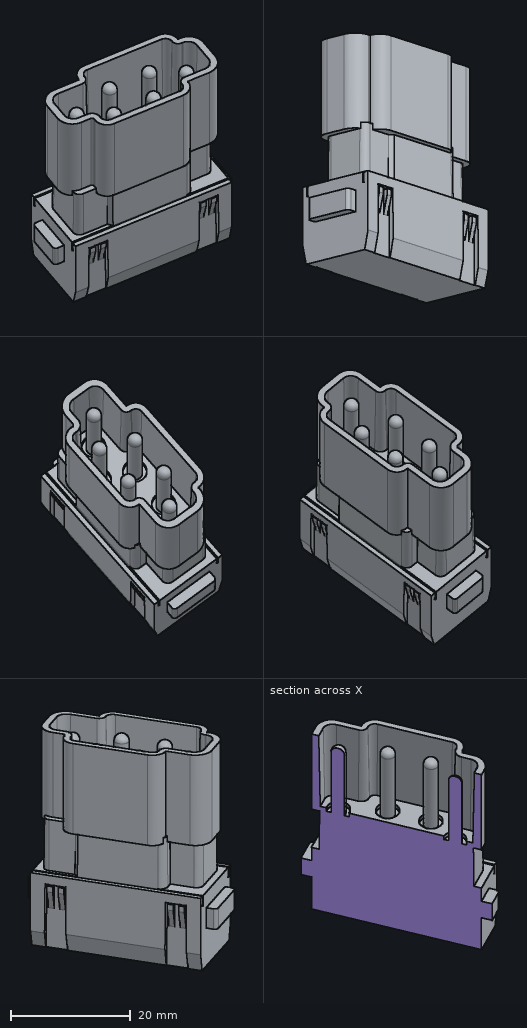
import cadquery as cq
import math

HEIGHT = 38.55
BODY_WIDTH = 14.6
BODY_LENGTH = 30.38
TAB_TO_TAB = 34.15

HALF_WIDTH = BODY_WIDTH / 2
HALF_LENGTH = BODY_LENGTH / 2

BASE_TOP = 13.65
BEVEL_INSET = 0.75
BEVEL_HEIGHT = 3.3
END_BEVEL_HEIGHT = 2.95
GROOVE_INNER_X = 6.13
GROOVE_WIDTH = 0.27
GROOVE_DEPTH = 1.8

RECESS_CENTRE_Y = 10.735
RECESS_DEPTH = 0.9
RECESS_TOP = 11.9
RECESS_TOP_WIDTH = 3.62
RECESS_BOTTOM_WIDTH = 3.9
WEDGE_BOTTOM = 7.32
WEDGE_RAMP_TOP = 10.6
WEDGE_TOP = 11.65
WEDGE_WIDTH = 1.05
WEDGE_SPACING = 2.0
WEDGE_HEIGHT = 0.8

TAB_BOTTOM = 7.0
TAB_TOP = 10.75
FRONT_TAB_WIDTH = 7.1
REAR_TAB_WIDTH = 9.1
TAB_CORNER_RADIUS = 0.6

NECK_TOP = 22.98
NECK_DRAFT = 0.5
NECK_END_Y = 13.85
NECK_SHOULDER_Y = 8.4
NECK_WIDE_X = GROOVE_INNER_X
NECK_STEPPED_X = 5.45
NECK_ARM_X = 3.55
NECK_STEP_Y = 7.2
NECK_CORNER_RADIUS = 1.27

SHROUD_BOTTOM = 21.95
SHROUD_WALL = 1.15
SHROUD_END_WALL = 1.35
CAVITY_FLOOR = 23.13
CAVITY_DRAFT = 1.0
ARM_X = 4.8
FRONT_ARM_RIGHT_X = 4.25
ARM_CORNER_RADIUS = 2.9
REAR_LEFT_SHOULDER_Y = 11.87
REAR_RIGHT_SHOULDER_Y = 8.1
FRONT_LEFT_SHOULDER_Y = -7.35
FRONT_RIGHT_SHOULDER_Y = -10.02
SHOULDER_RADIUS = 2.4
FRONT_RIGHT_NOTCH_RADIUS = 0.4

PIN_RADIUS = 1.27
PIN_TIP_Z = 36.85
PIN_WELL_RADIUS = 2.0
PIN_WELL_DEPTH = 0.77
WELL_BOTTOM = CAVITY_FLOOR - PIN_WELL_DEPTH
HALF_PIN_CENTRES = [(0.3, 10.5), (-2.8, 5.1), (2.8, 2.62)]
PIN_CENTRES = HALF_PIN_CENTRES + [(-x, -y) for x, y in HALF_PIN_CENTRES]


def rounded_outline(corners, z):
    """Closed outline at height z through (x, y, radius) corners; radius 0 leaves a sharp corner."""
    starts, mids, ends = [], [], []
    for i, (x, y, radius) in enumerate(corners):
        corner = cq.Vector(x, y, 0)
        before = cq.Vector(*corners[i - 1][:2], 0)
        after = cq.Vector(*corners[(i + 1) % len(corners)][:2], 0)
        to_before = (before - corner).normalized()
        to_after = (after - corner).normalized()
        half_angle = to_before.getAngle(to_after) / 2
        tangent_length = radius / math.tan(half_angle)
        apex_distance = radius / math.sin(half_angle) - radius
        starts.append(corner + to_before * tangent_length)
        mids.append(corner + (to_before + to_after).normalized() * apex_distance)
        ends.append(corner + to_after * tangent_length)

    outline = cq.Workplane("XY").workplane(offset=z).moveTo(ends[-1].x, ends[-1].y)
    for (_, _, radius), start, mid, end in zip(corners, starts, mids, ends):
        outline = outline.lineTo(start.x, start.y)
        if radius > 0:
            outline = outline.threePointArc((mid.x, mid.y), (end.x, end.y))
    return outline.close()


def box(x_range, y_range, z_range):
    """Box between the given limits on each axis."""
    spans = [high - low for low, high in (x_range, y_range, z_range)]
    return cq.Workplane("XY").box(*spans, centered=False).translate((x_range[0], y_range[0], z_range[0]))


def bevelled_bar(y_low, y_high, bevel_height):
    """Length of the base whose lower long edges are bevelled."""
    right_half = [
        (HALF_WIDTH - BEVEL_INSET, 0),
        (HALF_WIDTH, bevel_height),
        (HALF_WIDTH, BASE_TOP),
    ]
    left_half = [(-x, z) for x, z in reversed(right_half)]
    profile = cq.Workplane("XZ", origin=(0, y_high, 0)).polyline(right_half + left_half).close()
    return profile.extrude(y_high - y_low)


def latch_recess():
    """Cutter for one recess in the -X side, slightly wider at the bottom."""
    half_top = RECESS_TOP_WIDTH / 2
    half_bottom = RECESS_BOTTOM_WIDTH / 2
    profile = [(-half_bottom, 0), (half_bottom, 0), (half_top, RECESS_TOP), (-half_top, RECESS_TOP)]
    return cq.Workplane("YZ", origin=(-HALF_WIDTH, 0, 0)).polyline(profile).close().extrude(RECESS_DEPTH)


def latch_wedge():
    """Wedge rib on the floor of a recess in the -X side, ramping outward with height."""
    floor_x = RECESS_DEPTH - HALF_WIDTH
    crest_x = floor_x - WEDGE_HEIGHT
    profile = [
        (floor_x, WEDGE_BOTTOM),
        (crest_x, WEDGE_RAMP_TOP),
        (crest_x, WEDGE_TOP),
        (floor_x, WEDGE_TOP),
    ]
    return cq.Workplane("XZ").polyline(profile).close().extrude(WEDGE_WIDTH / 2, both=True)


def base():
    """Bevelled block with two top grooves and latch recesses on both long sides."""
    block = bevelled_bar(-RECESS_CENTRE_Y, HALF_LENGTH, BEVEL_HEIGHT)
    block = block.union(bevelled_bar(-HALF_LENGTH, -RECESS_CENTRE_Y, END_BEVEL_HEIGHT))

    groove = box(
        (GROOVE_INNER_X, GROOVE_INNER_X + GROOVE_WIDTH),
        (-HALF_LENGTH, HALF_LENGTH),
        (BASE_TOP - GROOVE_DEPTH, BASE_TOP),
    )
    block = block.cut(groove).cut(groove.mirror("YZ"))

    for centre_y in (-RECESS_CENTRE_Y, RECESS_CENTRE_Y):
        recess = latch_recess().translate((0, centre_y, 0))
        block = block.cut(recess).cut(recess.mirror("YZ"))
        for offset_y in (-WEDGE_SPACING / 2, WEDGE_SPACING / 2):
            wedge = latch_wedge().translate((0, centre_y + offset_y, 0))
            block = block.union(wedge).union(wedge.mirror("YZ"))
    return block


def end_tabs():
    """Narrow tab on the -Y end and wide tab on the +Y end, outer upright edges rounded."""
    z_range = (TAB_BOTTOM, TAB_TOP)
    front_half = FRONT_TAB_WIDTH / 2
    rear_half = REAR_TAB_WIDTH / 2
    front = box((-front_half, front_half), (-TAB_TO_TAB / 2, 0), z_range)
    rear = box((-rear_half, rear_half), (0, TAB_TO_TAB / 2), z_range)
    front = front.faces("<Y").edges("|Z").fillet(TAB_CORNER_RADIUS)
    rear = rear.faces(">Y").edges("|Z").fillet(TAB_CORNER_RADIUS)
    return front.union(rear)


def neck():
    """Drafted neck whose outline repeats after a half turn about Z."""
    step_run = NECK_WIDE_X - NECK_STEPPED_X
    half_outline = [
        (-NECK_ARM_X, -NECK_END_Y, NECK_CORNER_RADIUS),
        (-NECK_ARM_X, -NECK_SHOULDER_Y, 0),
        (-NECK_WIDE_X, -NECK_SHOULDER_Y, NECK_CORNER_RADIUS),
        (-NECK_WIDE_X, NECK_STEP_Y, 0),
        (-NECK_STEPPED_X, NECK_STEP_Y + step_run, 0),
        (-NECK_STEPPED_X, NECK_END_Y, NECK_CORNER_RADIUS),
    ]
    turned_half = [(-x, -y, radius) for x, y, radius in half_outline]
    outline = rounded_outline(half_outline + turned_half, BASE_TOP)
    return outline.extrude(NECK_TOP - BASE_TOP, taper=NECK_DRAFT)


def shroud_outline(end_y, z):
    """Outer shroud outline at height z with its two arms ending at -end_y and +end_y."""
    return rounded_outline(
        [
            (-ARM_X, -end_y, ARM_CORNER_RADIUS),
            (-ARM_X, FRONT_LEFT_SHOULDER_Y, 0),
            (-HALF_WIDTH, FRONT_LEFT_SHOULDER_Y, SHOULDER_RADIUS),
            (-HALF_WIDTH, REAR_LEFT_SHOULDER_Y, SHOULDER_RADIUS),
            (-ARM_X, REAR_LEFT_SHOULDER_Y, 0),
            (-ARM_X, end_y, ARM_CORNER_RADIUS),
            (ARM_X, end_y, ARM_CORNER_RADIUS),
            (ARM_X, REAR_RIGHT_SHOULDER_Y, 0),
            (HALF_WIDTH, REAR_RIGHT_SHOULDER_Y, SHOULDER_RADIUS),
            (HALF_WIDTH, FRONT_RIGHT_SHOULDER_Y, SHOULDER_RADIUS),
            (FRONT_ARM_RIGHT_X, FRONT_RIGHT_SHOULDER_Y, FRONT_RIGHT_NOTCH_RADIUS),
            (FRONT_ARM_RIGHT_X, -end_y, ARM_CORNER_RADIUS),
        ],
        z,
    )


def cavity():
    """Cutter for the shroud interior, narrowing from the rim down to the floor."""
    inner_end_y = HALF_LENGTH - (SHROUD_END_WALL - SHROUD_WALL)
    rim = shroud_outline(inner_end_y, HEIGHT).offset2D(-SHROUD_WALL)
    return rim.extrude(CAVITY_FLOOR - HEIGHT, taper=CAVITY_DRAFT)


def pin():
    """Round-tipped contact pin standing on the bottom of its well, centred on the Z axis."""
    dome_z = PIN_TIP_Z - PIN_RADIUS
    shank = cq.Workplane("XY", origin=(0, 0, WELL_BOTTOM)).circle(PIN_RADIUS).extrude(dome_z - WELL_BOTTOM)
    dome = cq.Workplane("XY", origin=(0, 0, dome_z)).sphere(PIN_RADIUS)
    return shank.union(dome)


def pin_well():
    """Cutter for the round well around a pin."""
    return cq.Workplane("XY", origin=(0, 0, WELL_BOTTOM)).circle(PIN_WELL_RADIUS).extrude(PIN_WELL_DEPTH)


shroud = shroud_outline(HALF_LENGTH, SHROUD_BOTTOM).extrude(HEIGHT - SHROUD_BOTTOM)
result = base().union(end_tabs()).union(neck()).union(shroud).cut(cavity())

for x, y in PIN_CENTRES:
    result = result.cut(pin_well().translate((x, y, 0)))
    result = result.union(pin().translate((x, y, 0)))